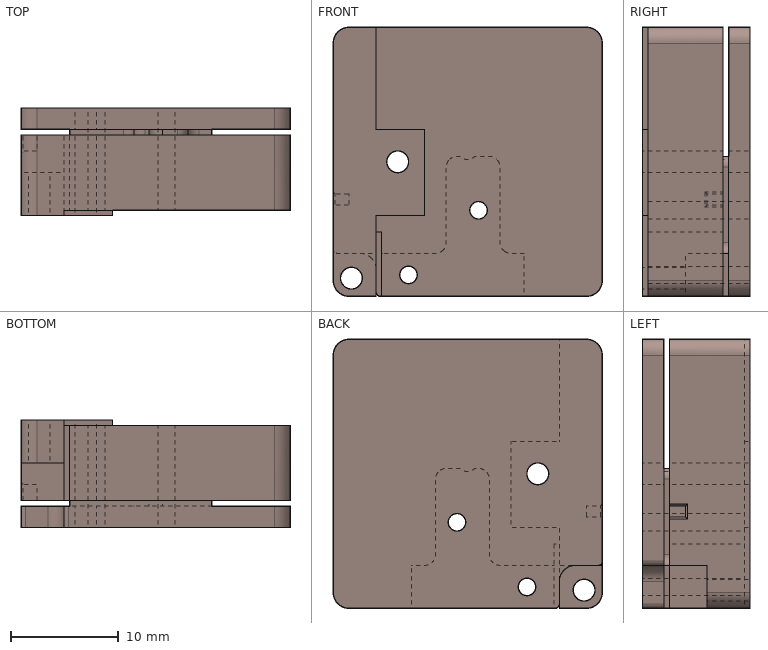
import cadquery as cq
import math

SIDE = 25.0
CORNER_RADIUS = 1.5

STEP_DEPTH = 0.5
HOUSING_BACK = 7.5
SPACER_THICKNESS = 0.5
LID_THICKNESS = 2.0

STRIP_WIDTH = 4.0
TAB_RIGHT = 8.5
TAB_BOTTOM = 7.5
TAB_TOP = 15.5
CUTOUT_WIDTH = 0.5
CUTOUT_HEIGHT = 6.0

NOTCH_SIZE = 4.0
NOTCH_FRONT = 4.0
NOTCH_EDGE_RADIUS = 0.4

SPACER_LEFT = STRIP_WIDTH + CUTOUT_WIDTH
SPACER_RIGHT = 17.7
SPACER_BASE_TOP = 4.0
SPACER_TOP = 13.0
TOWER_LEFT = 10.5
TOWER_RIGHT = 15.5
TOWER_RADIUS = 1.0
SCALLOP_X = 12.5
SCALLOP_Z = 13.5
SCALLOP_RADIUS = 0.8

SLOT_BOTTOM = 8.5
SLOT_TOP = 9.5
SLOT_FRONT = 6.0
SLOT_LENGTH = 1.5
SLOT_CHAMFER = 0.2

LARGE_HOLE = 2.0
SMALL_HOLE = 1.6
PIVOT_HOLE = (1.7, 1.7, LARGE_HOLE)
TAB_HOLE = (6.0, 12.5, LARGE_HOLE)
SCREW_HOLES = [(13.5, 8.0, SMALL_HOLE), (7.0, 2.0, SMALL_HOLE)]

LID_FRONT = HOUSING_BACK + SPACER_THICKNESS
LID_BACK = LID_FRONT + LID_THICKNESS


def box(x0, x1, y0, y1, z0, z1):
    """Box between opposite corner coordinates."""
    return cq.Workplane("XY").box(x1 - x0, y1 - y0, z1 - z0, centered=False).translate((x0, y0, z0))


def outline_at(y):
    """Workplane facing the front, at depth y; local X and Y are global X and Z."""
    return cq.Workplane("XZ", origin=(0, y, 0))


def drill(body, holes):
    """Cut round holes along Y through the whole depth."""
    for x, z, diameter in holes:
        body = body.cut(outline_at(0).center(x, z).circle(diameter / 2).extrude(-LID_BACK))
    return body


def front_step():
    """Material removed from the front face, leaving the raised strip and its tab."""
    panel = box(STRIP_WIDTH, SIDE, 0, STEP_DEPTH, 0, SIDE)
    tab = box(STRIP_WIDTH, TAB_RIGHT, 0, STEP_DEPTH, TAB_BOTTOM, TAB_TOP)
    return panel.cut(tab)


def strip_cutout():
    """Narrow opening beside the lower end of the raised strip, through the housing's depth."""
    return box(STRIP_WIDTH, STRIP_WIDTH + CUTOUT_WIDTH, 0, HOUSING_BACK, 0, CUTOUT_HEIGHT)


def side_slot():
    """Blind slot in the left side, open to the rear, with a chamfered mouth."""
    slot = box(0, SLOT_LENGTH, SLOT_FRONT, HOUSING_BACK, SLOT_BOTTOM, SLOT_TOP)
    mouth = (
        cq.Workplane("XY")
        .polyline([
            (0, SLOT_FRONT - SLOT_CHAMFER),
            (SLOT_CHAMFER, SLOT_FRONT),
            (SLOT_CHAMFER, HOUSING_BACK),
            (0, HOUSING_BACK),
        ])
        .close()
        .extrude(SIDE)
    )
    flare = (
        cq.Workplane("XZ")
        .polyline([
            (0, SLOT_BOTTOM - SLOT_CHAMFER),
            (SLOT_CHAMFER, SLOT_BOTTOM),
            (SLOT_CHAMFER, SLOT_TOP),
            (0, SLOT_TOP + SLOT_CHAMFER),
        ])
        .close()
        .extrude(-HOUSING_BACK)
    )
    return slot.union(mouth.intersect(flare))


def spacer():
    """Raised pad between lid and housing: a low base, a rounded tower and a scallop on top."""
    r = TOWER_RADIUS
    base, top = SPACER_BASE_TOP, SPACER_TOP
    bend = r * math.sqrt(0.5)
    pad = (
        outline_at(HOUSING_BACK)
        .moveTo(SPACER_LEFT, 0)
        .lineTo(SPACER_LEFT, base)
        .lineTo(TOWER_LEFT - r, base)
        .threePointArc((TOWER_LEFT - r + bend, base + r - bend), (TOWER_LEFT, base + r))
        .lineTo(TOWER_LEFT, top - r)
        .threePointArc((TOWER_LEFT + r - bend, top - r + bend), (TOWER_LEFT + r, top))
        .lineTo(TOWER_RIGHT - r, top)
        .threePointArc((TOWER_RIGHT - r + bend, top - r + bend), (TOWER_RIGHT, top - r))
        .lineTo(TOWER_RIGHT, base + r)
        .threePointArc((TOWER_RIGHT + r - bend, base + r - bend), (TOWER_RIGHT + r, base))
        .lineTo(SPACER_RIGHT, base)
        .lineTo(SPACER_RIGHT, 0)
        .close()
        .extrude(-SPACER_THICKNESS)
    )
    scallop = (
        outline_at(HOUSING_BACK)
        .center(SCALLOP_X, SCALLOP_Z)
        .circle(SCALLOP_RADIUS)
        .extrude(-SPACER_THICKNESS)
    )
    return pad.cut(scallop)


def make_housing():
    """Thick front block with a stepped face, a cutout, a side slot and a rear corner notch."""
    block = box(0, SIDE, 0, HOUSING_BACK, 0, SIDE).edges("|Y").fillet(CORNER_RADIUS)
    block = block.cut(front_step()).cut(strip_cutout()).cut(side_slot())
    block = block.cut(box(0, NOTCH_SIZE, NOTCH_FRONT, HOUSING_BACK, 0, NOTCH_SIZE))
    return drill(block, [PIVOT_HOLE, TAB_HOLE, *SCREW_HOLES])


def make_lid():
    """Rear plate with a rounded corner notch and the spacer pad on its front face."""
    plate = box(0, SIDE, LID_FRONT, LID_BACK, 0, SIDE)
    for rounded_side in (">X", "<X and >Z"):
        plate = plate.edges("|Y").edges(rounded_side).fillet(CORNER_RADIUS)
    plate = plate.cut(box(0, NOTCH_SIZE, LID_FRONT, LID_BACK, 0, NOTCH_SIZE))

    def notch_edge(x, z):
        middle = (x, (LID_FRONT + LID_BACK) / 2, z)
        return cq.selectors.NearestToPointSelector(middle)

    plate = plate.edges("|Y").edges(notch_edge(NOTCH_SIZE, NOTCH_SIZE)).fillet(CORNER_RADIUS)
    for x, z in ((0, NOTCH_SIZE), (NOTCH_SIZE, 0)):
        plate = plate.edges("|Y").edges(notch_edge(x, z)).fillet(NOTCH_EDGE_RADIUS)
    plate = plate.union(spacer())
    return drill(plate, [TAB_HOLE, *SCREW_HOLES])


housing = make_housing()
lid = make_lid()
result = cq.Compound.makeCompound([housing.val(), lid.val()])